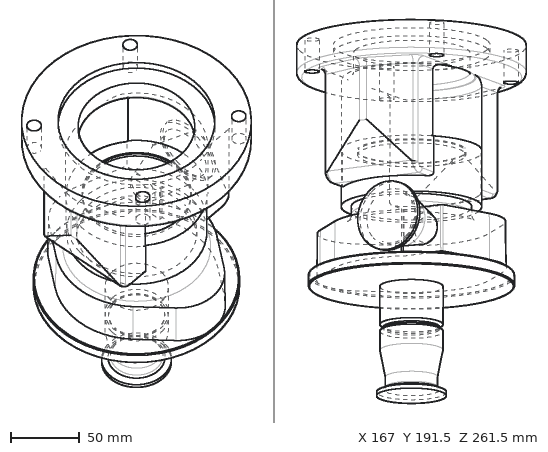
import cadquery as cq
import math

TOTAL_HEIGHT = 261.5
FLANGE_THICKNESS = 24.0
FLANGE_BOTTOM_Z = TOTAL_HEIGHT - FLANGE_THICKNESS
ARM_BOTTOM_Z = 152.8
COLLAR_TOP_Z = 182.7
COLLAR_BOTTOM_Z = 141.0
CASING_TOP_Z = 125.5
PLATE_TOP_Z = 90.8
PLATE_BOTTOM_Z = 81.5

FLANGE_RADIUS = 83.5
FLANGE_EDGE_FILLET = 3.5
FLANGE_RECESS_RADIUS = 57.0
FLANGE_RECESS_DEPTH = 6.0
FLANGE_BORE_RADIUS = 42.4
BOLT_CIRCLE_DIAMETER = 149.0
BOLT_HOLE_DIAMETER = 10.5
BOLT_COUNT = 4
BOLT_START_ANGLE = 45.0

ARM_HALF_WIDTH = 38.8
ARM_RIDGE_HALF_WIDTH = 3.0
ARM_RIDGE_Y = 68.8
ARM_CORNER_Y = 58.7
ARM_INNER_RADIUS = 51.9
ARM_SLOPE_TOP_Z = 192.4
ARM_SLOPE_ANGLE = 15.7
ARM_EDGE_FILLET = 3.0
ARM_TOE_FILLET = 10.0
ARM_ROOT_FILLET = 5.0
ARM_COLLAR_OVERLAP = 5.0

SELECTION_MARGIN = 0.1

COLLAR_RADIUS = 51.2
COLLAR_RECESS_RADIUS = 39.3
COLLAR_RECESS_DEPTH = 3.0
COLLAR_RECESS_CHAMFER = 0.6
NECK_RADIUS = 43.8
NECK_FILLET = 10.0

CASING_BODY_RADIUS = 59.9
CASING_LOBE_RADIUS = 34.7
CASING_LOBE_OFFSET = 40.0
CASING_DRAFT_ANGLE = 1.0

BLOCK_FACE_Y = 54.2
BLOCK_CORNER_X = -58.0
BLOCK_CORNER_FILLET = 1.5
BLOCK_STEP_X = -25.5
BLOCK_STEP_Y = 56.8

PLATE_RADIUS = 75.0
PLATE_CHAMFER = 0.8

FERRULE_RADIUS = 25.4
FERRULE_RIM = 3.0
FERRULE_TAPER_LENGTH = 5.0
FERRULE_FILLET = 1.7
TUBE_RADIUS = 19.1

INLET_RADIUS = 23.0
INLET_CONE_START_Z = 14.2
INLET_CONE_END_Z = 34.1
GROOVE_Z = 50.7
GROOVE_FLOOR_HALF_WIDTH = 0.6
GROOVE_HALF_WIDTH = 2.4
GROOVE_RADIUS = 20.4

OUTLET_X = -44.4
OUTLET_Z = 108.4
OUTLET_FACE_Y = 108.0
OUTLET_CONE_START = 20.4
OUTLET_CONE_END = 50.7
OUTLET_THROAT_RADIUS = 11.7
OUTLET_ROOT_RADIUS = 9.0
OUTLET_EMBED = 1.0


def cylinder(radius, bottom, top):
    return cq.Workplane("XY").workplane(offset=bottom).circle(radius).extrude(top - bottom)


def fillet_quarter(profile, inner_radius, start_height, fillet_radius):
    """Continue a half profile with a concave quarter circle that rises onto a cylinder."""
    middle = fillet_radius * (1 - math.sqrt(0.5))
    return profile.threePointArc(
        (inner_radius + middle, start_height + middle),
        (inner_radius, start_height + fillet_radius),
    )


def ferrule_start():
    """Half profile of a clamp ferrule: radius along X, distance from its face along Y."""
    profile = (
        cq.Workplane("XZ")
        .moveTo(0, 0)
        .lineTo(FERRULE_RADIUS, 0)
        .lineTo(FERRULE_RADIUS, FERRULE_RIM)
        .lineTo(TUBE_RADIUS + FERRULE_FILLET, FERRULE_TAPER_LENGTH)
    )
    return fillet_quarter(profile, TUBE_RADIUS, FERRULE_TAPER_LENGTH, FERRULE_FILLET)


def revolve_profile(profile):
    return profile.close().revolve(360, (0, 0, 0), (0, 1, 0))


def make_flange():
    """Bored and recessed flange, rounded on both edges of its underside."""
    flange = cylinder(FLANGE_RADIUS, FLANGE_BOTTOM_Z, TOTAL_HEIGHT)
    flange = flange.cut(cylinder(FLANGE_RECESS_RADIUS, TOTAL_HEIGHT - FLANGE_RECESS_DEPTH, TOTAL_HEIGHT))
    flange = flange.cut(cylinder(FLANGE_BORE_RADIUS, FLANGE_BOTTOM_Z, TOTAL_HEIGHT))
    return flange.faces("<Z").edges().fillet(FLANGE_EDGE_FILLET)


def make_bolt_holes():
    return (
        cq.Workplane("XY")
        .workplane(offset=FLANGE_BOTTOM_Z)
        .polarArray(BOLT_CIRCLE_DIAMETER / 2, BOLT_START_ANGLE, 360, BOLT_COUNT)
        .circle(BOLT_HOLE_DIAMETER / 2)
        .extrude(FLANGE_THICKNESS)
    )


def make_collar():
    collar = cylinder(COLLAR_RADIUS, COLLAR_BOTTOM_Z, COLLAR_TOP_Z)
    recess = cylinder(COLLAR_RECESS_RADIUS, COLLAR_TOP_Z - COLLAR_RECESS_DEPTH, COLLAR_TOP_Z)
    collar = collar.cut(recess)
    rim = cq.selectors.RadiusNthSelector(0)
    return collar.faces(">Z").edges(rim).chamfer(COLLAR_RECESS_CHAMFER)


def make_arm():
    """Arm on the +Y side: a ridged bar whose lower end slopes in to a rounded toe."""
    arm = (
        cq.Workplane("XY")
        .workplane(offset=ARM_BOTTOM_Z)
        .moveTo(-ARM_HALF_WIDTH, 0)
        .lineTo(-ARM_HALF_WIDTH, ARM_CORNER_Y)
        .lineTo(-ARM_RIDGE_HALF_WIDTH, ARM_RIDGE_Y)
        .lineTo(ARM_RIDGE_HALF_WIDTH, ARM_RIDGE_Y)
        .lineTo(ARM_HALF_WIDTH, ARM_CORNER_Y)
        .lineTo(ARM_HALF_WIDTH, 0)
        .close()
        .extrude(FLANGE_BOTTOM_Z - ARM_BOTTOM_Z)
    )
    slope_height = ARM_SLOPE_TOP_Z - ARM_BOTTOM_Z
    slope_depth = slope_height * math.tan(math.radians(ARM_SLOPE_ANGLE))
    wedge = (
        cq.Workplane("YZ")
        .moveTo(ARM_RIDGE_Y, ARM_SLOPE_TOP_Z)
        .lineTo(ARM_RIDGE_Y, ARM_BOTTOM_Z)
        .lineTo(ARM_RIDGE_Y - slope_depth, ARM_BOTTOM_Z)
        .close()
        .extrude(ARM_HALF_WIDTH, both=True)
    )
    arm = arm.cut(wedge)
    arm = arm.faces("<Z").edges(">Y").fillet(ARM_TOE_FILLET)
    arm = arm.faces("<X or >X").edges("not(<Y or >Z)").fillet(ARM_EDGE_FILLET)
    arm = arm.cut(cylinder(ARM_INNER_RADIUS, COLLAR_TOP_Z, FLANGE_BOTTOM_Z))
    return arm.cut(cylinder(COLLAR_RADIUS - ARM_COLLAR_OVERLAP, ARM_BOTTOM_Z, COLLAR_TOP_Z))


def underside_box(half_width):
    """Selector for the edges in the plane of the flange underside, within a centred square."""
    reach = half_width + SELECTION_MARGIN
    return cq.selectors.BoxSelector(
        (-reach, -reach, FLANGE_BOTTOM_Z - SELECTION_MARGIN),
        (reach, reach, FLANGE_BOTTOM_Z + SELECTION_MARGIN),
        boundingbox=True,
    )


def make_yoke():
    """Flange with both arms, filleted where the arms meet its underside."""
    arm = make_arm()
    yoke = make_flange().union(arm).union(arm.mirror("XZ"))
    underside_radius = FLANGE_BORE_RADIUS + FLANGE_EDGE_FILLET
    arm_roots = underside_box(ARM_RIDGE_Y) - underside_box(underside_radius)
    yoke = yoke.edges(arm_roots).fillet(ARM_ROOT_FILLET)
    return yoke.cut(make_bolt_holes())


def make_neck():
    profile = (
        cq.Workplane("XZ")
        .moveTo(0, CASING_TOP_Z)
        .lineTo(NECK_RADIUS + NECK_FILLET, CASING_TOP_Z)
    )
    profile = (
        fillet_quarter(profile, NECK_RADIUS, CASING_TOP_Z, NECK_FILLET)
        .lineTo(NECK_RADIUS, COLLAR_BOTTOM_Z)
        .lineTo(0, COLLAR_BOTTOM_Z)
    )
    return revolve_profile(profile)


def make_casing():
    """Body and lobes joined by tangent walls; the outlet block squares off the -X +Y side."""
    normal_x = (CASING_BODY_RADIUS - CASING_LOBE_RADIUS) / CASING_LOBE_OFFSET
    normal_y = math.sqrt(1 - normal_x**2)
    body_x = CASING_BODY_RADIUS * normal_x
    body_y = CASING_BODY_RADIUS * normal_y
    lobe_x = CASING_LOBE_OFFSET + CASING_LOBE_RADIUS * normal_x
    lobe_y = CASING_LOBE_RADIUS * normal_y
    lobe_tip = CASING_LOBE_OFFSET + CASING_LOBE_RADIUS
    corner_dx = BLOCK_CORNER_X + CASING_LOBE_OFFSET
    corner_distance = math.hypot(corner_dx, BLOCK_FACE_Y)
    tangent_angle = math.atan2(BLOCK_FACE_Y, corner_dx) + math.acos(CASING_LOBE_RADIUS / corner_distance)
    wall_x = -CASING_LOBE_OFFSET + CASING_LOBE_RADIUS * math.cos(tangent_angle)
    wall_y = CASING_LOBE_RADIUS * math.sin(tangent_angle)
    block_end_x = -math.sqrt(CASING_BODY_RADIUS**2 - BLOCK_STEP_Y**2)
    outline = (
        cq.Workplane("XY")
        .workplane(offset=PLATE_TOP_Z)
        .moveTo(BLOCK_CORNER_X, BLOCK_FACE_Y)
        .lineTo(wall_x, wall_y)
        .threePointArc((-lobe_tip, 0), (-lobe_x, -lobe_y))
        .lineTo(-body_x, -body_y)
        .threePointArc((0, -CASING_BODY_RADIUS), (body_x, -body_y))
        .lineTo(lobe_x, -lobe_y)
        .threePointArc((lobe_tip, 0), (lobe_x, lobe_y))
        .lineTo(body_x, body_y)
        .threePointArc((0, CASING_BODY_RADIUS), (block_end_x, BLOCK_STEP_Y))
        .lineTo(BLOCK_STEP_X, BLOCK_STEP_Y)
        .lineTo(BLOCK_STEP_X, BLOCK_FACE_Y)
        .close()
    )
    casing = outline.extrude(CASING_TOP_Z - PLATE_TOP_Z, taper=CASING_DRAFT_ANGLE)
    corner = cq.selectors.NearestToPointSelector((BLOCK_CORNER_X, BLOCK_FACE_Y, OUTLET_Z))
    return casing.edges(corner).fillet(BLOCK_CORNER_FILLET)


def make_plate():
    plate = cylinder(PLATE_RADIUS, PLATE_BOTTOM_Z, PLATE_TOP_Z)
    return plate.edges().chamfer(PLATE_CHAMFER)


def make_inlet():
    profile = (
        ferrule_start()
        .lineTo(TUBE_RADIUS, INLET_CONE_START_Z)
        .lineTo(INLET_RADIUS, INLET_CONE_END_Z)
        .lineTo(INLET_RADIUS, GROOVE_Z - GROOVE_HALF_WIDTH)
        .lineTo(GROOVE_RADIUS, GROOVE_Z - GROOVE_FLOOR_HALF_WIDTH)
        .lineTo(GROOVE_RADIUS, GROOVE_Z + GROOVE_FLOOR_HALF_WIDTH)
        .lineTo(INLET_RADIUS, GROOVE_Z + GROOVE_HALF_WIDTH)
        .lineTo(INLET_RADIUS, PLATE_BOTTOM_Z)
        .lineTo(0, PLATE_BOTTOM_Z)
    )
    return revolve_profile(profile)


def make_outlet():
    """Outlet pipe, built on the Z axis and then turned so that its face looks along +Y."""
    length = OUTLET_FACE_Y - BLOCK_FACE_Y + OUTLET_EMBED
    profile = (
        ferrule_start()
        .lineTo(TUBE_RADIUS, OUTLET_CONE_START)
        .lineTo(OUTLET_THROAT_RADIUS, OUTLET_CONE_END)
        .lineTo(OUTLET_ROOT_RADIUS, length)
        .lineTo(0, length)
    )
    pipe = revolve_profile(profile).rotate((0, 0, 0), (1, 0, 0), 90)
    return pipe.translate((OUTLET_X, OUTLET_FACE_Y, OUTLET_Z))


result = (
    make_yoke()
    .union(make_collar())
    .union(make_neck())
    .union(make_casing())
    .union(make_plate())
    .union(make_inlet())
    .union(make_outlet())
)